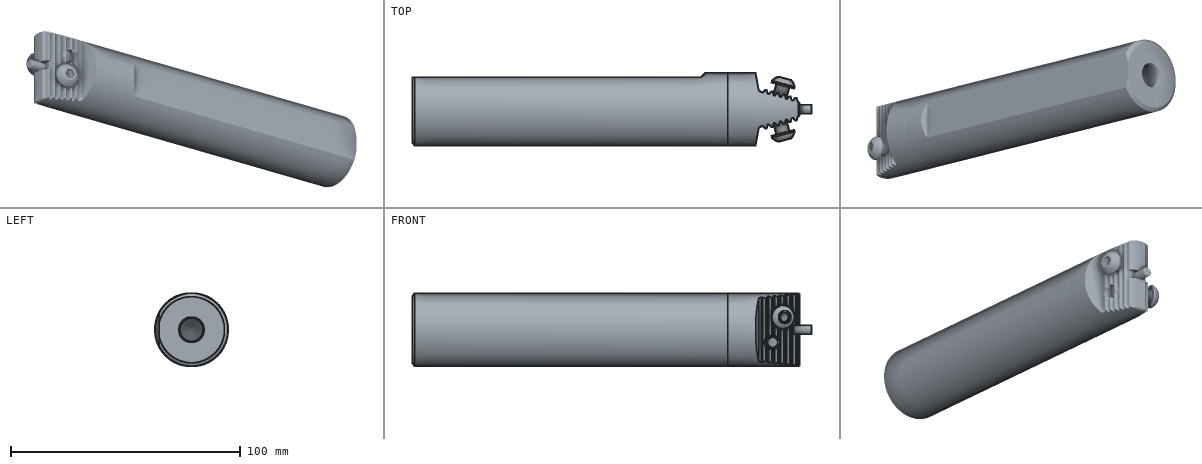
import cadquery as cq
import math

shank_diameter = 32.0
shank_radius = shank_diameter / 2
overall_length = 174.3
body_length = 168.9
rear_chamfer_length = 1.2
rear_chamfer_depth = 1.6
nose_chamfer = 0.6
cutter_margin = 2.0
flat_height = 14.0
flat_length = 126.0

groove_position = 137.65
groove_width = 1.0
groove_depth = 0.1

rear_hole_diameter = 10.2
rear_countersink_diameter = 11.0
rear_countersink_depth = 1.0
rear_hole_depth = 12.0
drill_point_angle = 118.0

flank_angle = 15.0
first_crest_x = 154.3
first_crest_y = 8.5
tooth_pitch = 2.717
tooth_depth = 1.5
tooth_flank_angle = 60.0
tooth_count = 6
shoulder_x = 149.7
shoulder_lean = 10.5
shoulder_foot_y = 8.2
first_root_x = 152.1
nose_half_width = 2.6
nose_edge_chamfer = 1.0

tube_diameter = 4.0
tube_length = 20.0
tube_chamfer = 0.4
slot_depth = 2.6

screw_diameter = 6.0
screw_length = 17.2
screw_tip_chamfer = 0.7
head_diameter = 10.3
head_height = 3.3
head_rim = 0.8
head_top_diameter = 5.6
socket_size = 4.0
socket_depth = 1.6
socket_turn = 30.0
socket_point_angle = 120.0
screw_seat_x = 161.6
screw_seat_y = 10.3
screw_z = 5.5

screw_axis = cq.Vector(
    math.sin(math.radians(flank_angle)), math.cos(math.radians(flank_angle)), 0
)
screw_turns = (0, 180)


def cylinder_along_x(start, length, radius):
    return cq.Workplane("YZ", origin=(start, 0, 0)).circle(radius).extrude(length)


def make_blank():
    """Turned shank with end chamfers, ring groove and pointed rear hole."""
    point_length = rear_hole_diameter / 2 / math.tan(math.radians(drill_point_angle / 2))
    profile = [
        (rear_hole_depth + point_length, 0),
        (rear_hole_depth, rear_hole_diameter / 2),
        (rear_countersink_depth, rear_hole_diameter / 2),
        (0, rear_countersink_diameter / 2),
        (0, shank_radius - rear_chamfer_depth),
        (rear_chamfer_length, shank_radius),
        (groove_position - groove_width / 2, shank_radius),
        (groove_position, shank_radius - groove_depth),
        (groove_position + groove_width / 2, shank_radius),
        (body_length - nose_chamfer, shank_radius),
        (body_length, shank_radius - nose_chamfer),
        (body_length, 0),
    ]
    return cq.Workplane("XZ").polyline(profile).close().revolve(360, (0, 0, 0), (1, 0, 0))


def make_flat_cutter():
    """Space above the clamping flat, with its 45 degree run-out."""
    top = shank_radius + cutter_margin
    profile = [
        (-cutter_margin, flat_height),
        (flat_length, flat_height),
        (flat_length + top - flat_height, top),
        (-cutter_margin, top),
    ]
    return (
        cq.Workplane("XY", origin=(0, 0, -shank_radius))
        .polyline(profile)
        .close()
        .extrude(shank_diameter)
    )


def along_flank(along, outward):
    """Point beside the +Y flank, measured from the first crest along and square to the crest plane."""
    tilt = math.radians(flank_angle)
    return (
        first_crest_x + along * math.cos(tilt) + outward * math.sin(tilt),
        first_crest_y - along * math.sin(tilt) + outward * math.cos(tilt),
    )


def make_flank_cutter():
    """Space beside the +Y flank: a leaning shoulder with a bevel, then flat-topped teeth."""
    flank_run = tooth_depth / math.tan(math.radians(tooth_flank_angle))
    half_crest = (tooth_pitch / 2 - flank_run) / 2
    outside = shank_radius + cutter_margin
    lean = math.tan(math.radians(shoulder_lean))
    tilt = math.radians(flank_angle)
    first_root_y = (
        first_crest_y
        - (first_root_x - first_crest_x) * math.tan(tilt)
        - tooth_depth / math.cos(tilt)
    )
    profile = [
        (shoulder_x - lean * cutter_margin, outside),
        (shoulder_x + lean * (shank_radius - shoulder_foot_y), shoulder_foot_y),
        (first_root_x, first_root_y),
    ]
    for tooth in range(tooth_count):
        crest = tooth * tooth_pitch
        profile.append(along_flank(crest - half_crest - flank_run, -tooth_depth))
        profile.append(along_flank(crest - half_crest, 0))
        profile.append(along_flank(crest + half_crest, 0))
        profile.append(along_flank(crest + half_crest + flank_run, -tooth_depth))
    end_x, end_y = along_flank((tooth_count + 1) * tooth_pitch, -tooth_depth)
    profile.append((end_x, end_y))
    profile.append((end_x, outside))
    return cq.Workplane("XY").polyline(profile).close().extrude(shank_radius, both=True)


def make_nose_edge_cutter():
    """45 degree chamfer along the +Y edge of the nose."""
    profile = [
        (body_length, nose_half_width),
        (body_length - nose_edge_chamfer, nose_half_width + nose_edge_chamfer),
        (body_length, nose_half_width + nose_edge_chamfer),
    ]
    return cq.Workplane("XY").polyline(profile).close().extrude(shank_radius, both=True)


def make_screw(turn):
    """Button head screw with hexagon socket, its axis square to the flank."""
    radius = screw_diameter / 2
    rim_radius = head_diameter / 2
    top_radius = head_top_diameter / 2
    crown_rise = head_height - head_rim
    centre_drop = (rim_radius**2 - top_radius**2 - crown_rise**2) / (2 * crown_rise)
    crown_radius = math.hypot(rim_radius, centre_drop)
    mid_height = head_rim + crown_rise / 2
    mid_radius = math.sqrt(crown_radius**2 - (centre_drop + crown_rise / 2) ** 2)
    seat = cq.Plane(
        origin=(screw_seat_x, screw_seat_y, -screw_z), xDir=(0, 0, 1), normal=screw_axis.toTuple()
    )
    screw = (
        cq.Workplane("XZ")
        .moveTo(0, -screw_length)
        .lineTo(radius - screw_tip_chamfer, -screw_length)
        .lineTo(radius, -screw_length + screw_tip_chamfer)
        .lineTo(radius, 0)
        .lineTo(rim_radius, 0)
        .lineTo(rim_radius, head_rim)
        .threePointArc((mid_radius, mid_height), (top_radius, head_height))
        .lineTo(0, head_height)
        .close()
        .revolve(360, (0, 0, 0), (0, 1, 0))
    )
    socket = (
        cq.Workplane("XY", origin=(0, 0, head_height - socket_depth))
        .polygon(6, socket_size / math.cos(math.pi / 6))
        .extrude(socket_depth)
        .rotate((0, 0, 0), (0, 0, 1), socket_turn)
    )
    socket_radius = socket_size / 2
    point_depth = socket_radius / math.tan(math.radians(socket_point_angle / 2))
    point = cq.Solid.makeCone(
        socket_radius,
        0,
        point_depth,
        cq.Vector(0, 0, head_height - socket_depth),
        cq.Vector(0, 0, -1),
    )
    placed = screw.cut(socket).cut(cq.Workplane(point)).val().moved(cq.Location(seat))
    return cq.Workplane(placed).rotate((0, 0, 0), (1, 0, 0), turn)


def make_screw_hole(turn):
    """Through hole along one screw axis."""
    axis = screw_axis.multiply(-1)
    hole = cq.Solid.makeCylinder(
        screw_diameter / 2,
        shank_diameter,
        cq.Vector(screw_seat_x, screw_seat_y, -screw_z),
        axis,
    )
    return cq.Workplane(hole).rotate((0, 0, 0), (1, 0, 0), turn)


def make_tube():
    tube = cylinder_along_x(overall_length - tube_length, tube_length, tube_diameter / 2)
    return tube.faces(">X").chamfer(tube_chamfer)


def make_body():
    body = make_blank().cut(make_flat_cutter())
    for cutter in (make_flank_cutter(), make_nose_edge_cutter()):
        body = body.cut(cutter).cut(cutter.mirror("XZ"))
    slot = cq.Workplane("XY").box(slot_depth, shank_diameter, tube_diameter)
    body = body.cut(slot.translate((body_length - slot_depth / 2, 0, 0)))
    body = body.cut(cylinder_along_x(overall_length - tube_length, tube_length, tube_diameter / 2))
    for turn in screw_turns:
        body = body.cut(make_screw_hole(turn))
    return body


body = make_body()
tube = make_tube()
screws = [make_screw(turn) for turn in screw_turns]
result = cq.Compound.makeCompound([body.val(), tube.val(), *[screw.val() for screw in screws]])